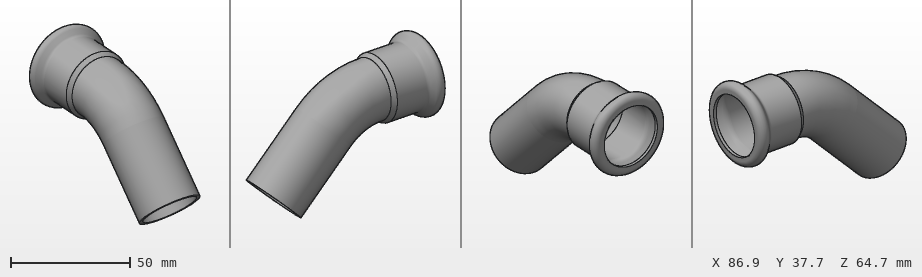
import cadquery as cq
import math

overall_length = 86.9

tube_radius = 14.0
tube_wall = 1.6
bend_angle = 45
bend_radius = 34.4

socket_radius = 15.5
socket_wall = 1.5
socket_end = 23.9
taper_end = 26.1
bend_start = 26.8

bead_section_radius = 2.95
bead_ring_radius = 15.9
cone_angle = 45
neck_fillet_radius = 2.2

socket_bore_radius = socket_radius - socket_wall
lip_radius = socket_bore_radius
tube_bore_radius = tube_radius - tube_wall


def swept_rod(radius):
    """Solid rod through the short straight neck, the bend and the spigot."""
    angle = math.radians(bend_angle)
    half = angle / 2
    middle = (bend_start + bend_radius * math.sin(half), -bend_radius * (1 - math.cos(half)))
    bend_end = (bend_start + bend_radius * math.sin(angle), -bend_radius * (1 - math.cos(angle)))
    spigot_reach = overall_length - tube_radius * math.sin(angle) - bend_end[0]
    spigot_end = (
        bend_end[0] + spigot_reach,
        bend_end[1] - spigot_reach * math.tan(angle),
    )
    path = (
        cq.Workplane("XZ")
        .moveTo(taper_end, 0)
        .lineTo(bend_start, 0)
        .threePointArc(middle, bend_end)
        .lineTo(*spigot_end)
    )
    return cq.Workplane("YZ", origin=(taper_end, 0, 0)).circle(radius).sweep(path)


def revolve_about_x(profile):
    return profile.close().revolve(360, (0, 0, 0), (1, 0, 0))


def add_bead(profile, inset):
    """Continue a half profile over the roll, cone and neck fillet, inset into the wall.

    It first rises to where the roll is tangent to the mouth plane, and ends on the socket cylinder.
    """
    angle = math.radians(cone_angle)
    roll = bead_section_radius - inset
    fillet = neck_fillet_radius + inset
    cylinder = socket_radius - inset

    def roll_point(turn):
        return (bead_section_radius + roll * math.sin(turn), bead_ring_radius + roll * math.cos(turn))

    roll_end = roll_point(angle)
    cone_end_radius = cylinder + fillet * (1 - math.cos(angle))
    cone_end = roll_end[0] + (roll_end[1] - cone_end_radius) / math.tan(angle)
    fillet_end = cone_end + fillet * math.sin(angle)
    fillet_middle = (
        fillet_end - fillet * math.sin(angle / 2),
        cylinder + fillet * (1 - math.cos(angle / 2)),
    )
    return (
        profile.lineTo(*roll_point(-math.pi / 2))
        .threePointArc(roll_point((angle - math.pi / 2) / 2), roll_end)
        .lineTo(cone_end, cone_end_radius)
        .threePointArc(fillet_middle, (fillet_end, cylinder))
    )


def socket_body():
    """Outer form: rolled bead, cone, cylinder and taper down to the tube."""
    profile = (
        add_bead(cq.Workplane("XY"), inset=0)
        .lineTo(socket_end, socket_radius)
        .lineTo(taper_end, tube_radius)
        .lineTo(taper_end, 0)
    )
    return revolve_about_x(profile)


def socket_cavity():
    """Inner form: lip, seal groove, cone, socket bore and taper to the tube bore."""
    lip = (
        cq.Workplane("XY")
        .lineTo(0, lip_radius)
        .lineTo(socket_wall, lip_radius)
    )
    profile = (
        add_bead(lip, inset=socket_wall)
        .lineTo(socket_end, socket_bore_radius)
        .lineTo(taper_end, tube_bore_radius)
        .lineTo(taper_end, 0)
    )
    return revolve_about_x(profile)


outer = socket_body().union(swept_rod(tube_radius))
result = outer.cut(socket_cavity()).cut(swept_rod(tube_bore_radius))